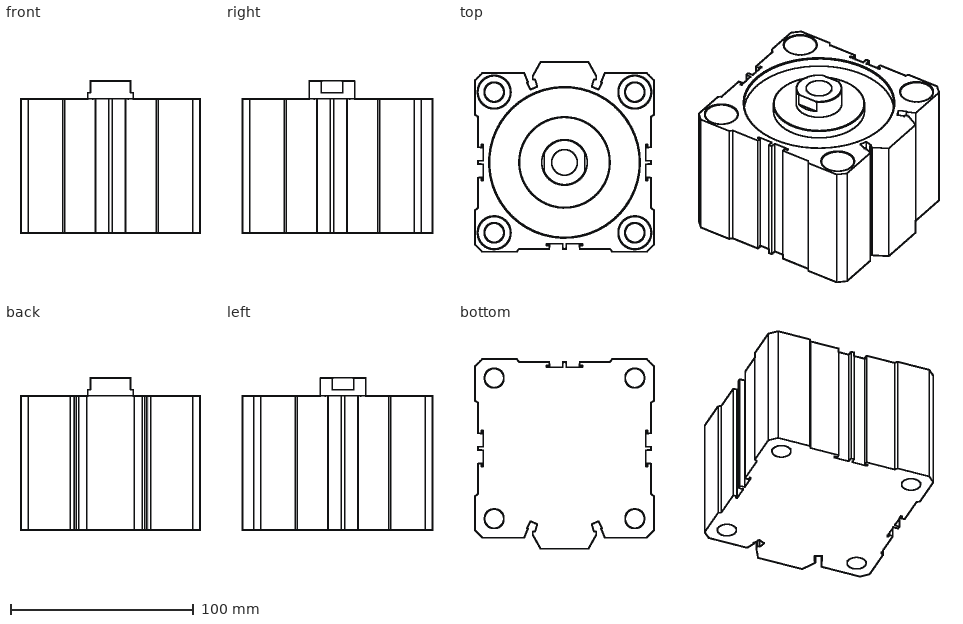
import cadquery as cq

body_width = 98.0
body_height = 73.5
corner_chamfer = 4.1
half_width = body_width / 2

recess_depth = 1.6
recess_half_top = 26.1
recess_half_floor = 25.0
fin_half_tip = 0.9
fin_half_root = 1.0
groove_half_mouth = 8.3
groove_half_throat = 8.1
groove_half_floor = 9.8
groove_lip = 2.1
groove_depth = 2.9

body_depth = 104.0
rail_top = body_depth - half_width
rail_half_top = 13.1
rail_half_width = 17.5
rail_shoulder = 47.2

slot_mouth = (22.0, half_width)
body_lip_top = (20.4, 44.9)
body_lip_tip = (20.0, 44.1)
body_lip_root = (20.5, 43.8)
slot_floor_outer = (18.6, 39.9)
slot_floor_inner = (15.0, 41.5)
rail_lip_root = (16.1, 45.3)
rail_lip_edge = (17.2, 45.3)
rail_lip_tip = (rail_half_width, 46.0)

hole_pitch = 77.0
hole_diameter = 10.4
counterbore_diameter = 17.8
counterbore_depth = 13.5
hole_chamfer = 0.3

pocket_diameter = 82.1
pocket_depth = 5.3
pocket_chamfer = 0.4
boss_diameter = 49.9
boss_height = 4.8
boss_chamfer = 0.3

rod_diameter = 25.0
rod_top = 83.5
rod_length = 41.6
rod_chamfer = 0.3
flat_width = 22.0
flat_height = 6.5
bore_diameter = 14.0
bore_depth = 21.0

pocket_floor = body_height - pocket_depth
rod_bottom = rod_top - rod_length


def extruded(points):
    """Closed outline extruded over the full body height."""
    return cq.Workplane("XY").polyline(points).close().extrude(body_height)


def disc(diameter, bottom, height):
    """Vertical cylinder on the Z axis."""
    return cq.Workplane("XY").workplane(offset=bottom).circle(diameter / 2).extrude(height)


def rim_chamfer(diameter, top, size):
    """Cone that breaks the upper rim of a hole by the given size."""
    cone = cq.Solid.makeCone(diameter / 2, diameter / 2 + size, size, pnt=cq.Vector(0, 0, top - size))
    return cq.Workplane("XY").add(cone)


def side_recess():
    """Material removed from the -Y side: shallow recess with two grooves beside a tapered fin."""
    recess_floor = recess_depth - half_width
    lip_back = recess_floor + groove_lip
    groove_floor = recess_floor + groove_depth
    recess = extruded([
        (-recess_half_top, -half_width),
        (recess_half_top, -half_width),
        (recess_half_floor, recess_floor),
        (-recess_half_floor, recess_floor),
    ])
    groove = extruded([
        (fin_half_tip, recess_floor),
        (groove_half_mouth, recess_floor),
        (groove_half_throat, lip_back),
        (groove_half_floor, lip_back),
        (groove_half_floor, groove_floor),
        (fin_half_root, groove_floor),
    ])
    return recess.union(groove).union(groove.mirror("YZ"))


def switch_slot():
    """Tilted slot between the rail and the body, with a small lip on each wall near its mouth."""
    return extruded([
        slot_mouth,
        body_lip_top,
        body_lip_tip,
        body_lip_root,
        slot_floor_outer,
        slot_floor_inner,
        rail_lip_root,
        rail_lip_edge,
        rail_lip_tip,
        (rail_half_width, half_width),
    ])


def switch_rail():
    """Tab above the +Y side, narrowing towards its flat top."""
    return extruded([
        (-rail_half_width, rail_shoulder),
        (rail_half_width, rail_shoulder),
        (rail_half_top, rail_top),
        (-rail_half_top, rail_top),
    ])


def make_housing():
    body = cq.Workplane("XY").rect(body_width, body_width).extrude(body_height)
    body = body.edges("|Z").chamfer(corner_chamfer)

    for angle in (0, 90, -90):
        body = body.cut(side_recess().rotate((0, 0, 0), (0, 0, 1), angle))

    shoulder_clearance = extruded([
        (-rail_half_width, rail_shoulder),
        (rail_half_width, rail_shoulder),
        (rail_half_width, half_width),
        (-rail_half_width, half_width),
    ])
    slot = switch_slot()
    body = body.cut(shoulder_clearance).cut(slot).cut(slot.mirror("YZ")).union(switch_rail())

    counterbore_floor = body_height - counterbore_depth
    hole_column = (
        disc(hole_diameter, 0, body_height)
        .union(disc(counterbore_diameter, counterbore_floor, counterbore_depth))
        .union(rim_chamfer(counterbore_diameter, body_height, hole_chamfer))
        .union(rim_chamfer(hole_diameter, counterbore_floor, hole_chamfer))
    )
    for x in (-hole_pitch / 2, hole_pitch / 2):
        for y in (-hole_pitch / 2, hole_pitch / 2):
            body = body.cut(hole_column.translate((x, y, 0)))

    pocket = disc(pocket_diameter, pocket_floor, pocket_depth)
    pocket = pocket.union(rim_chamfer(pocket_diameter, body_height, pocket_chamfer))
    boss = disc(boss_diameter, pocket_floor, boss_height).faces(">Z").edges().chamfer(boss_chamfer)
    body = body.cut(pocket).union(boss)

    return body.cut(disc(rod_diameter, rod_bottom, rod_length))


def make_rod():
    rod = disc(rod_diameter, rod_bottom, rod_length).faces(">Z").edges().chamfer(rod_chamfer)

    flats_bottom = rod_top - flat_height
    flats = disc(2 * rod_diameter, flats_bottom, flat_height).cut(
        cq.Workplane("XY").workplane(offset=flats_bottom)
        .rect(flat_width, 2 * rod_diameter).extrude(flat_height)
    )
    bore = disc(bore_diameter, rod_top - bore_depth, bore_depth)
    return rod.cut(flats).cut(bore)


housing = make_housing()
rod = make_rod()
result = cq.Compound.makeCompound([housing.solids().val(), rod.solids().val()])